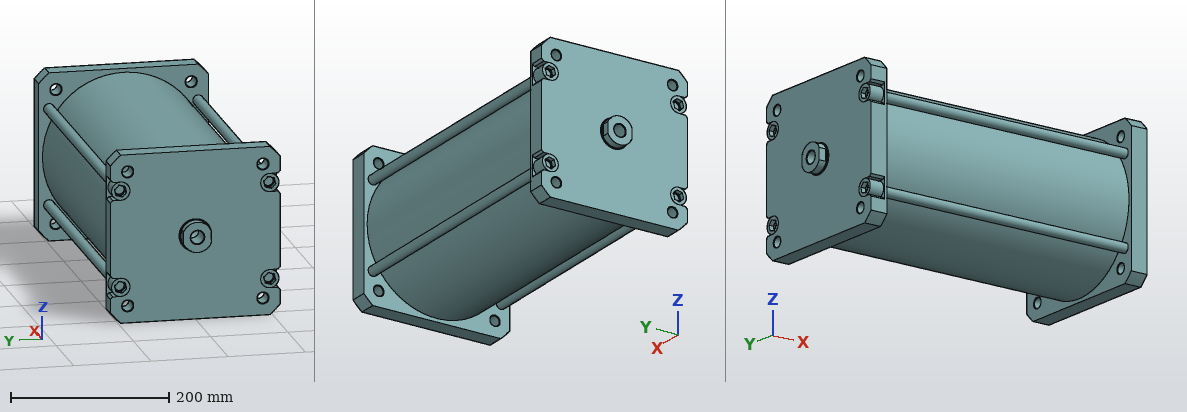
import cadquery as cq
import math

total_length = 449.2
rod_projection = 12.5
plate_thickness = 25.0
barrel_length = total_length - rod_projection - 2 * plate_thickness
barrel_start = plate_thickness
barrel_end = barrel_start + barrel_length

corner_sides = [(side_y, side_z) for side_y in (-1, 1) for side_z in (-1, 1)]

plate_width = 220.0
plate_corner_radius = 146.5
mount_hole_offset = 87.5
mount_hole_diameter = 14.0
mount_hole_chamfer = 1.0

barrel_diameter = 210.2

bolt_offset_y = 96.5
bolt_offset_z = 63.0
bolt_shank_diameter = 14.0
bolt_head_diameter = 24.0
bolt_head_length = 21.0
socket_sides = 6
socket_width = 14.0
socket_depth = 6.7
socket_turn = 15.0
socket_pilot_diameter = 12.5
socket_pilot_depth = 9.0
pocket_mouth_chamfer = 3.0

rod_diameter = 40.5
rod_tip_diameter = 39.5
rod_step_chamfer = 1.5
rod_flat_width = 36.0
rod_flat_length = 10.0
rod_bore_chamfer = 1.0
tapped_hole_diameter = 17.0
tapped_hole_chamfer = 1.0
tapped_hole_depth = 36.0
drill_point_angle = 118.0


def cylinder(start, length, diameter, y=0.0, z=0.0):
    """Cylinder parallel to X that begins at X = start."""
    return cq.Workplane("YZ", origin=(start, y, z)).circle(diameter / 2).extrude(length)


def chamfer_cone(start, length, start_diameter, end_diameter, y=0.0, z=0.0):
    """Cone parallel to X that changes diameter over its length."""
    cone = cq.Solid.makeCone(
        start_diameter / 2,
        end_diameter / 2,
        length,
        cq.Vector(start, y, z),
        cq.Vector(1, 0, 0),
    )
    return cq.Workplane(cone)


def rim_countersink(start, chamfer, hole_diameter, y=0.0, z=0.0):
    """45 degree cut that bevels the -X rim of a round hole."""
    return chamfer_cone(start, chamfer, hole_diameter + 2 * chamfer, hole_diameter, y, z)


def make_plate(start):
    """Square plate with turned corners and four countersunk mounting holes."""
    plate = cq.Workplane("YZ", origin=(start, 0, 0)).rect(plate_width, plate_width).extrude(plate_thickness)
    plate = plate.intersect(cylinder(start, plate_thickness, 2 * plate_corner_radius))
    for side_y, side_z in corner_sides:
        y = side_y * mount_hole_offset
        z = side_z * mount_hole_offset
        plate = plate.cut(cylinder(start, plate_thickness, mount_hole_diameter, y, z))
        plate = plate.cut(rim_countersink(start, mount_hole_chamfer, mount_hole_diameter, y, z))
    return plate


def make_bolt_pocket(side_y, side_z):
    """Round-bottomed pocket for a bolt head, open to the plate side through a flared mouth."""
    y = side_y * bolt_offset_y
    z = side_z * bolt_offset_z
    edge_y = side_y * plate_width / 2
    flare_start_y = edge_y - side_y * pocket_mouth_chamfer
    half_width = bolt_head_diameter / 2
    half_mouth = half_width + pocket_mouth_chamfer
    mouth = (
        cq.Workplane("YZ")
        .polyline([
            (y, z - half_width),
            (flare_start_y, z - half_width),
            (edge_y, z - half_mouth),
            (edge_y, z + half_mouth),
            (flare_start_y, z + half_width),
            (y, z + half_width),
        ])
        .close()
        .extrude(bolt_head_length)
    )
    seat = cylinder(0, bolt_head_length, bolt_head_diameter, y, z)
    shank_hole = cylinder(0, plate_thickness, bolt_shank_diameter, y, z)
    return mouth.union(seat).union(shank_hole)


def make_front_plate():
    """End plate with the chamfered piston rod bore and the four bolt pockets."""
    plate = make_plate(0)
    plate = plate.cut(cylinder(0, plate_thickness, rod_diameter))
    plate = plate.cut(rim_countersink(0, rod_bore_chamfer, rod_diameter))
    for side_y, side_z in corner_sides:
        plate = plate.cut(make_bolt_pocket(side_y, side_z))
    return plate


def make_tie_bolt(side_y, side_z):
    """Long socket-head bolt from the front plate face to the rear plate."""
    y = side_y * bolt_offset_y
    z = side_z * bolt_offset_z
    head = cylinder(0, bolt_head_length, bolt_head_diameter, y, z)
    shank = cylinder(0, barrel_end, bolt_shank_diameter, y, z)
    socket_corner_diameter = socket_width / math.cos(math.pi / socket_sides)
    socket = (
        cq.Workplane("YZ", origin=(0, y, z))
        .transformed(rotate=(0, 0, socket_turn))
        .polygon(socket_sides, socket_corner_diameter)
        .extrude(socket_depth)
    )
    pilot_hole = cylinder(0, socket_pilot_depth, socket_pilot_diameter, y, z)
    return head.union(shank).cut(socket).cut(pilot_hole)


def make_barrel():
    """Round cylinder body between the plates."""
    return cylinder(barrel_start, barrel_length, barrel_diameter)


def make_piston_rod():
    """Stepped rod end with two wrench flats and a drilled axial hole."""
    tip = -rod_projection
    step_start = -rod_step_chamfer
    rod = cylinder(tip, rod_projection, rod_tip_diameter)
    rod = rod.union(chamfer_cone(step_start, rod_step_chamfer, rod_tip_diameter, rod_diameter))
    rod = rod.union(cylinder(0, plate_thickness, rod_diameter))
    flats = (
        cq.Workplane("YZ", origin=(tip, 0, 0))
        .rect(2 * rod_diameter, 2 * rod_diameter)
        .rect(rod_flat_width, 2 * rod_diameter)
        .extrude(rod_flat_length)
    )
    hole_radius = tapped_hole_diameter / 2
    point_length = hole_radius / math.tan(math.radians(drill_point_angle / 2))
    hole_profile = [
        (tip, 0),
        (tip, hole_radius + tapped_hole_chamfer),
        (tip + tapped_hole_chamfer, hole_radius),
        (tip + tapped_hole_depth - point_length, hole_radius),
        (tip + tapped_hole_depth, 0),
    ]
    hole = cq.Workplane("XY").polyline(hole_profile).close().revolve(360, (0, 0, 0), (1, 0, 0))
    return rod.cut(flats).cut(hole)


front_plate = make_front_plate()
rear_plate = make_plate(barrel_end)
barrel = make_barrel()
piston_rod = make_piston_rod()
tie_bolts = [make_tie_bolt(side_y, side_z) for side_y, side_z in corner_sides]

result = cq.Compound.makeCompound([
    front_plate.val(),
    rear_plate.val(),
    barrel.val(),
    piston_rod.val(),
    *[bolt.val() for bolt in tie_bolts],
])